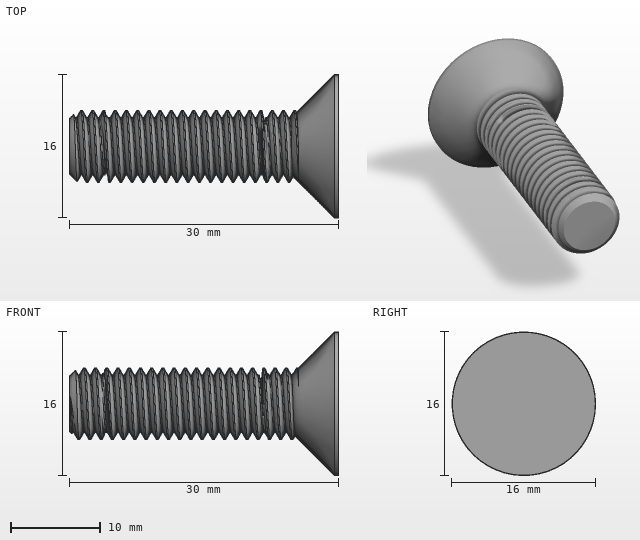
import cadquery as cq
import math

total_length = 30.0

head_diameter = 16.0
rim_thickness = 0.45

thread_diameter = 8.0
root_diameter = 6.4
turns_per_length = 24
flank_angle = 30.0
first_crest = 1.68
groove_clearance = 0.03

tip_diameter = 6.1

head_radius = head_diameter / 2
thread_radius = thread_diameter / 2
root_radius = root_diameter / 2
tip_radius = tip_diameter / 2
tip_chamfer = thread_radius - tip_radius

pitch = total_length / turns_per_length
crest_width = pitch / 8

cone_end = total_length - rim_thickness
cone_apex = cone_end - head_radius
cone_meets_crests = cone_apex + thread_radius

groove_start = first_crest - 1.5 * pitch
groove_turns = math.ceil((cone_meets_crests - groove_start) / pitch) + 1


def revolve_about_x(points):
    """Revolve an outline of (x, radius) points about the X axis."""
    return cq.Workplane("XY").polyline(points).close().revolve(360, (0, 0, 0), (1, 0, 0))


def make_head():
    """Rim and cone; the cone runs to its apex inside the shank so it meets the thread cleanly."""
    return revolve_about_x([
        (cone_apex, 0),
        (cone_end, head_radius),
        (total_length, head_radius),
        (total_length, 0),
    ])


def make_blank():
    """Plain shank with a chamfered tip, reaching into the head."""
    return revolve_about_x([
        (0, 0),
        (0, tip_radius),
        (tip_chamfer, thread_radius),
        (cone_end, thread_radius),
        (cone_end, 0),
    ])


def make_groove():
    """Helical V groove with a flat root, running from the tip until it is buried in the head."""
    outer_radius = thread_radius + groove_clearance
    slope = math.tan(math.radians(flank_angle))
    outer_half = (pitch - crest_width) / 2 + groove_clearance * slope
    root_half = outer_half - (outer_radius - root_radius) * slope
    section = [
        (groove_start - outer_half, outer_radius),
        (groove_start - root_half, root_radius),
        (groove_start + root_half, root_radius),
        (groove_start + outer_half, outer_radius),
    ]
    path = cq.Wire.makeHelix(
        pitch,
        groove_turns * pitch,
        root_radius,
        cq.Vector(groove_start, 0, 0),
        cq.Vector(1, 0, 0),
    )
    return cq.Workplane("XZ").polyline(section).close().sweep(cq.Workplane(path), isFrenet=True)


shank = make_blank().cut(make_groove())
result = shank.union(make_head())